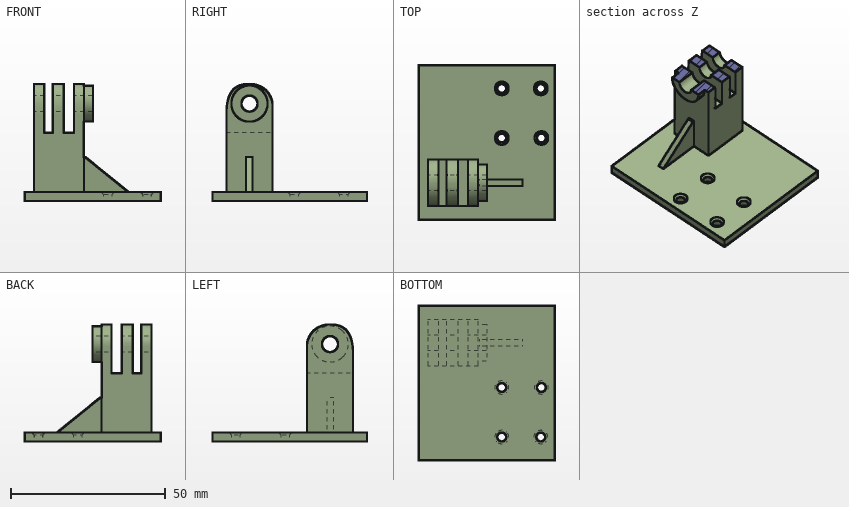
import cadquery as cq

plate_length = 44
plate_width = 50
plate_thickness = 3

post_left = 3
post_right = 19.1
post_width = 15
post_center_y = 12
post_front = post_center_y - post_width / 2
post_back = post_center_y + post_width / 2
post_top = 37.9

front_shoulder_z = 28.1
back_shoulder_z = 30.75
front_side_pull = 7
front_top_pull = 4.9
back_side_pull = 3.95
back_top_pull = 4.15

slot_floor_z = 22.1
slots = [(6.4, 9.05), (12.7, 15.9)]

pivot_z = 31.5
boss_diameter = 11.7
boss_length = 3
bore_diameter = 5.1

gusset_thickness = 2.1
gusset_top_z = 14.25
gusset_flat = 0.5
gusset_tip_x = 33.5

screw_diameter = 2.8
countersink_diameter = 4.4
countersink_angle = 90
screw_left_x = 26.85
screw_back_y = 42.45
screw_front_y = 26.45
screw_centers = [
    (screw_left_x, screw_back_y),
    (39.45, screw_back_y),
    (screw_left_x, screw_front_y),
    (39.65, screw_front_y),
]


def make_plate():
    return cq.Workplane("XY").box(plate_length, plate_width, plate_thickness, centered=False)


def make_post():
    front_shoulder = [
        (post_front, front_shoulder_z),
        (post_front, front_shoulder_z + front_side_pull),
        (post_center_y - front_top_pull, post_top),
        (post_center_y, post_top),
    ]
    back_shoulder = [
        (post_center_y, post_top),
        (post_center_y + back_top_pull, post_top),
        (post_back, back_shoulder_z + back_side_pull),
        (post_back, back_shoulder_z),
    ]
    return (
        cq.Workplane("YZ", origin=(post_left, 0, 0))
        .moveTo(post_front, 0)
        .lineTo(post_front, front_shoulder_z)
        .bezier(front_shoulder)
        .bezier(back_shoulder)
        .lineTo(post_back, 0)
        .close()
        .extrude(post_right - post_left)
    )


def make_slot(left, right):
    return cq.Workplane("XY", origin=(left, post_front, slot_floor_z)).box(
        right - left, post_width, post_top - slot_floor_z, centered=False
    )


def pivot_cylinder(diameter, start_x, end_x):
    return (
        cq.Workplane("YZ", origin=(start_x, post_center_y, pivot_z))
        .circle(diameter / 2)
        .extrude(end_x - start_x)
    )


def make_gusset():
    outline = [
        (post_right, 0),
        (post_right, gusset_top_z),
        (post_right + gusset_flat, gusset_top_z),
        (gusset_tip_x, plate_thickness),
        (gusset_tip_x, 0),
    ]
    return (
        cq.Workplane("XZ", origin=(0, post_center_y, 0))
        .polyline(outline)
        .close()
        .extrude(gusset_thickness / 2, both=True)
    )


post = make_post()
for left, right in slots:
    post = post.cut(make_slot(left, right))

boss_end = post_right + boss_length
result = make_plate().union(post).union(make_gusset())
result = result.union(pivot_cylinder(boss_diameter, post_right, boss_end))
result = result.cut(pivot_cylinder(bore_diameter, post_left, boss_end))
result = (
    result.copyWorkplane(cq.Workplane("XY", origin=(0, 0, plate_thickness)))
    .pushPoints(screw_centers)
    .cskHole(screw_diameter, countersink_diameter, countersink_angle, depth=plate_thickness)
)